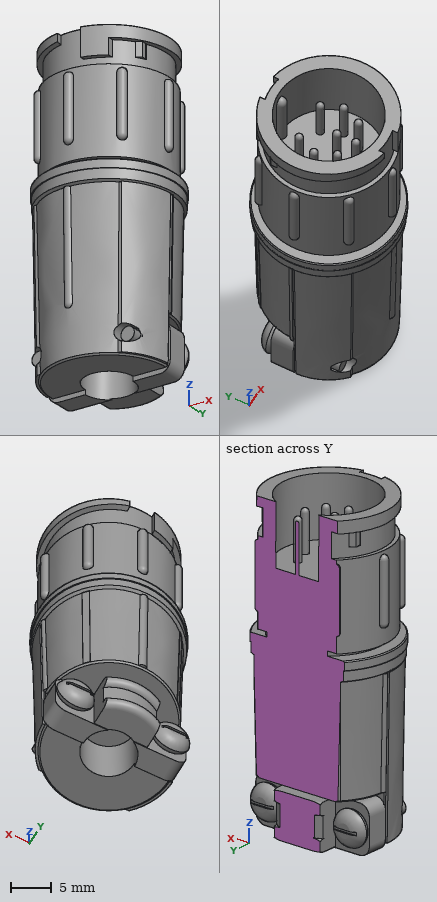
import cadquery as cq
import math


TOTAL_HEIGHT = 44.96
RIM_DEPTH = 1.74
SLEEVE_TOP = 39.73
SLEEVE_BOTTOM = 27.27
COLLAR_TOP = 26.64
COLLAR_STEP = 25.33
COLLAR_BOTTOM = 23.92
BODY_TOP = 23.68
REAR_BOTTOM = 7.6
FRONT_BOTTOM = 0.67

RIM_RADIUS = 8.89
NECK_RADIUS = 8.17
SLEEVE_RADIUS = 8.74
GAP_RADIUS = 7.79
COLLAR_RADIUS = 9.715
COLLAR_STEP_RADIUS = 9.58
COLLAR_CHAMFER = 0.15
BODY_TOP_RADIUS = 9.17
BODY_BOTTOM_RADIUS = 8.7
BODY_CHAMFER = 0.23

NOTCH_HALF_WIDTH = 1.72
RAMP_RISE = 0.65
RAMP_STEPS = 4
PAD_END_X = 4.96
PAD_DEPTH = 4.1
RIDGE_DEPTH = 3.82
RIDGE_OUTLINE = [(6.6, 3.4), (6.95, 4.43), (7.67, 3.9), (7.67, 3.05)]

RIB_COUNT = 8
RIB_RADIUS = 0.67
RIB_TOP = 38.59
RIB_BOTTOM = 30.19
SLEEVE_RIB_CENTRE = 8.75

BODY_RIB_TOP_RADIUS = 9.44
BODY_RIB_LOW_RADIUS = 9.17
FRONT_RIB_END = 8.1
STRIP_WIDTH = 0.95
STRIP_PROUD = 0.06
STRIP_ROOT_DEPTH = 1.0
STRIP_ANGLE = 43.9

PANEL_NEAR_Y = -0.37
PANEL_FAR_Y_TOP = -6.8
PANEL_FAR_Y_LOW = -6.5

BORE_RADIUS = 6.93
BORE_FLOOR = 36.15
PIN_RADIUS = 0.53
PIN_TIP = 42.15
PIN_CIRCLE = 3.8
PIN_PLACES = 8
KEY_ANGLE = 90
INNER_PIN_Y = -1.14
KEY_RADIUS = 0.8
KEY_Y = 6.75
KEY_TIP = 43.74
MARK_RADIUS = 0.3
MARK_HEIGHT = 0.2
MARK_X = -2.3
MARK_Y = 4.07

CLAMP_HEIGHT = 6.95
CLAMP_HALF_WIDTH = 9.1
CLAMP_THICKNESS = 3.1
CLAMP_CORNER = 1.55
CABLE_RADIUS = 3.57
STRAP_HALF_WIDTH = 3.7
STRAP_RADIUS = 6.5
STRAP_MARGIN = 0.15
BEAD_RADIUS = 0.9
WEB_RADIUS = 6.67
WEB_HEIGHT = 3.05

SCREW_X = 6.65
SCREW_Z = 3.55
HEAD_RADIUS = 2.57
HEAD_HEIGHT = 1.95
HEAD_NECK_RADIUS = 2.2
HEAD_BULGE_HEIGHT = 0.67
HEAD_FLAT_RADIUS = 1.0
HEAD_LOWER_ARC_POINT = (2.47, 0.3)
HEAD_UPPER_ARC_POINT = (2.1, 1.45)
SLOT_WIDTH = 0.4
SLOT_DEPTH = 0.27
SCREW_HOLE_RADIUS = 1.22
SCREW_TIP_RADIUS = 1.0
SCREW_TIP_Y = -5.66
SCREW_HOLE_FLOOR_Y = -4.2

SEAM_ANGLE = -70
OVERSIZE = 12.0


def disc(radius, bottom, top):
    return cq.Workplane("XY").workplane(offset=bottom).circle(radius).extrude(top - bottom)


def box(x0, x1, y0, y1, z0, z1):
    return cq.Workplane("XY").box(x1 - x0, y1 - y0, z1 - z0, centered=False).translate((x0, y0, z0))


def ball(radius, x, y, z):
    return cq.Workplane("XY").sphere(radius).translate((x, y, z))


def turned(outline):
    return cq.Workplane("XZ").polyline(outline).close().revolve(360, (0, 0), (0, 1))


def about_z(shape, angle):
    return shape.rotate((0, 0, 0), (0, 0, 1), angle)


def body_radius_at(z):
    share = (z - FRONT_BOTTOM) / (BODY_TOP - FRONT_BOTTOM)
    return BODY_BOTTOM_RADIUS + share * (BODY_TOP_RADIUS - BODY_BOTTOM_RADIUS)


def rib_radius_at(z):
    share = (z - REAR_BOTTOM) / (BODY_TOP - REAR_BOTTOM)
    return BODY_RIB_LOW_RADIUS + share * (BODY_RIB_TOP_RADIUS - BODY_RIB_LOW_RADIUS)


def upper_stack():
    return turned([
        (0, BODY_TOP),
        (BODY_TOP_RADIUS, BODY_TOP),
        (COLLAR_STEP_RADIUS, COLLAR_BOTTOM),
        (COLLAR_STEP_RADIUS, COLLAR_STEP),
        (COLLAR_RADIUS, COLLAR_STEP),
        (COLLAR_RADIUS, COLLAR_TOP - COLLAR_CHAMFER),
        (COLLAR_RADIUS - COLLAR_CHAMFER, COLLAR_TOP),
        (GAP_RADIUS, COLLAR_TOP),
        (GAP_RADIUS, SLEEVE_BOTTOM),
        (SLEEVE_RADIUS, SLEEVE_BOTTOM),
        (SLEEVE_RADIUS, SLEEVE_TOP),
        (NECK_RADIUS, SLEEVE_TOP),
        (NECK_RADIUS, TOTAL_HEIGHT),
        (0, TOTAL_HEIGHT),
    ])


def bayonet_half():
    """Flange over the front-left quarter (ramped) and front-right quarter, with stop pad and ridge."""
    rim_bottom = TOTAL_HEIGHT - RIM_DEPTH
    ring = disc(RIM_RADIUS, rim_bottom, TOTAL_HEIGHT).cut(
        box(-NOTCH_HALF_WIDTH, NOTCH_HALF_WIDTH, -OVERSIZE, 0, rim_bottom, TOTAL_HEIGHT))
    half = ring.intersect(box(-OVERSIZE, OVERSIZE, -OVERSIZE, 0, rim_bottom, TOTAL_HEIGHT))
    ramp_points = []
    for step in range(1, RAMP_STEPS + 1):
        share = step / RAMP_STEPS
        ramp_points.append((-RIM_RADIUS * math.sin(share * math.pi / 2), rim_bottom + share * RAMP_RISE))
    ramp = (
        cq.Workplane("YZ")
        .moveTo(0, rim_bottom)
        .spline(ramp_points, includeCurrent=True)
        .lineTo(-RIM_RADIUS, rim_bottom)
        .close()
        .extrude(-OVERSIZE)
    )
    pad = disc(RIM_RADIUS, TOTAL_HEIGHT - PAD_DEPTH, TOTAL_HEIGHT).intersect(
        box(NOTCH_HALF_WIDTH, PAD_END_X, -OVERSIZE, 0, 0, TOTAL_HEIGHT))
    ridge = (
        cq.Workplane("XY")
        .workplane(offset=TOTAL_HEIGHT - RIDGE_DEPTH)
        .polyline([(x, -y) for x, y in RIDGE_OUTLINE])
        .close()
        .extrude(RIDGE_DEPTH - RIM_DEPTH)
    )
    return half.cut(ramp).union(pad).union(ridge)


def sleeve_rib():
    rib = disc(RIB_RADIUS, RIB_BOTTOM, RIB_TOP)
    rib = rib.union(ball(RIB_RADIUS, 0, 0, RIB_TOP)).union(ball(RIB_RADIUS, 0, 0, RIB_BOTTOM))
    return rib.translate((SLEEVE_RIB_CENTRE, 0, 0))


def body_shell():
    """Tapered barrel whose +Y half ends higher, both ends with a small chamfer."""
    barrel = turned([
        (0, FRONT_BOTTOM),
        (BODY_BOTTOM_RADIUS - BODY_CHAMFER, FRONT_BOTTOM),
        (body_radius_at(FRONT_BOTTOM + BODY_CHAMFER), FRONT_BOTTOM + BODY_CHAMFER),
        (BODY_TOP_RADIUS, BODY_TOP),
        (0, BODY_TOP),
    ])
    rear_edge = REAR_BOTTOM + BODY_CHAMFER
    below_rear = turned([
        (0, 0),
        (OVERSIZE, 0),
        (OVERSIZE, rear_edge),
        (body_radius_at(rear_edge), rear_edge),
        (body_radius_at(REAR_BOTTOM) - BODY_CHAMFER, REAR_BOTTOM),
        (0, REAR_BOTTOM),
    ])
    barrel = about_z(barrel, SEAM_ANGLE)
    below_rear = about_z(below_rear, SEAM_ANGLE)
    return barrel.cut(below_rear.intersect(box(-OVERSIZE, OVERSIZE, 0, OVERSIZE, 0, BODY_TOP)))


def round_body_rib(bottom):
    """Leaning round rib on the +X side."""
    low = cq.Vector(rib_radius_at(bottom) - RIB_RADIUS, 0, bottom)
    high = cq.Vector(rib_radius_at(BODY_TOP) - RIB_RADIUS, 0, BODY_TOP)
    axis = high - low
    return cq.Workplane(obj=cq.Solid.makeCylinder(RIB_RADIUS, axis.Length, low, axis))


def rear_strip():
    """Leaning flat strip on the +X side of the +Y half, its root buried in the body."""
    bottom = REAR_BOTTOM + BODY_CHAMFER
    low_radius = body_radius_at(bottom) + STRIP_PROUD
    high_radius = BODY_TOP_RADIUS + STRIP_PROUD
    root = low_radius - STRIP_ROOT_DEPTH
    return (
        cq.Workplane("XZ")
        .polyline([(root, bottom), (low_radius, bottom), (high_radius, BODY_TOP), (root, BODY_TOP)])
        .close()
        .extrude(STRIP_WIDTH / 2, both=True)
    )


def side_panels():
    """Raised conical panels on both sides of the -Y half, ending in a step toward -Y."""
    bottom = FRONT_BOTTOM + BODY_CHAMFER
    cone = turned([
        (0, bottom),
        (rib_radius_at(bottom), bottom),
        (BODY_RIB_TOP_RADIUS, BODY_TOP),
        (0, BODY_TOP),
    ])
    band = (
        cq.Workplane("YZ")
        .polyline([
            (PANEL_NEAR_Y, bottom),
            (PANEL_NEAR_Y, BODY_TOP),
            (PANEL_FAR_Y_TOP, BODY_TOP),
            (PANEL_FAR_Y_LOW, bottom),
        ])
        .close()
        .extrude(OVERSIZE, both=True)
    )
    return about_z(cone, SEAM_ANGLE).intersect(band)


def body():
    """Barrel with round ribs on -Y, +Y and the rear of both sides, rear strips and side panels."""
    shape = body_shell()

    front_rib = round_body_rib(FRONT_RIB_END)
    front_rib = front_rib.union(
        ball(RIB_RADIUS, rib_radius_at(FRONT_RIB_END) - RIB_RADIUS, 0, FRONT_RIB_END))
    shape = shape.union(about_z(front_rib, -90))

    rear_rib = round_body_rib(REAR_BOTTOM + BODY_CHAMFER)
    rear_side = box(-OVERSIZE, OVERSIZE, 0, OVERSIZE, REAR_BOTTOM, BODY_TOP)
    for angle in (0, 90, 180):
        shape = shape.union(about_z(rear_rib, angle).intersect(rear_side))
    for angle in (STRIP_ANGLE, 180 - STRIP_ANGLE):
        shape = shape.union(about_z(rear_strip(), angle))
    return shape.union(side_panels())


def domed_pin(radius, x, y, tip):
    shoulder = tip - radius
    return disc(radius, BORE_FLOOR, shoulder).translate((x, y, 0)).union(ball(radius, x, y, shoulder))


def insert_pins():
    pins = domed_pin(PIN_RADIUS, 0, INNER_PIN_Y, PIN_TIP)
    for step in range(PIN_PLACES):
        angle = 360 / PIN_PLACES * step
        if angle == KEY_ANGLE:
            continue
        x = PIN_CIRCLE * math.cos(math.radians(angle))
        y = PIN_CIRCLE * math.sin(math.radians(angle))
        pins = pins.union(domed_pin(PIN_RADIUS, x, y, PIN_TIP))
    key = domed_pin(KEY_RADIUS, 0, KEY_Y, KEY_TIP)
    mark = disc(MARK_RADIUS, BORE_FLOOR, BORE_FLOOR + MARK_HEIGHT).translate((MARK_X, MARK_Y, 0))
    return pins.union(key).union(mark)


def clamp_strap():
    """Arched bridge over the cable: two round beads with a flat web between them."""
    middle = CLAMP_HEIGHT / 2
    strap = disc(STRAP_RADIUS, STRAP_MARGIN, CLAMP_HEIGHT - STRAP_MARGIN)
    strap = strap.union(disc(WEB_RADIUS, middle - WEB_HEIGHT / 2, middle + WEB_HEIGHT / 2))
    for z in (STRAP_MARGIN + BEAD_RADIUS, CLAMP_HEIGHT - STRAP_MARGIN - BEAD_RADIUS):
        bead = cq.Solid.makeTorus(STRAP_RADIUS, BEAD_RADIUS, cq.Vector(0, 0, z))
        strap = strap.union(cq.Workplane(obj=bead))
    return strap.intersect(box(-STRAP_HALF_WIDTH, STRAP_HALF_WIDTH, 0, OVERSIZE, 0, CLAMP_HEIGHT))


def screw_head(x):
    dome = (
        cq.Workplane("XY")
        .lineTo(HEAD_NECK_RADIUS, 0)
        .threePointArc(HEAD_LOWER_ARC_POINT, (HEAD_RADIUS, HEAD_BULGE_HEIGHT))
        .threePointArc(HEAD_UPPER_ARC_POINT, (HEAD_FLAT_RADIUS, HEAD_HEIGHT))
        .lineTo(0, HEAD_HEIGHT)
        .close()
        .revolve(360, (0, 0), (0, 1))
    )
    slot_half = SLOT_WIDTH / 2
    slot = box(-HEAD_RADIUS, HEAD_RADIUS, HEAD_HEIGHT - SLOT_DEPTH, HEAD_HEIGHT, -slot_half, slot_half)
    return dome.cut(slot).translate((x, CLAMP_THICKNESS, SCREW_Z))


def cable_clamp():
    clamp = box(-CLAMP_HALF_WIDTH, CLAMP_HALF_WIDTH, 0, CLAMP_THICKNESS, 0, CLAMP_HEIGHT)
    clamp = clamp.edges("|Y").fillet(CLAMP_CORNER).union(clamp_strap())
    for x in (-SCREW_X, SCREW_X):
        clamp = clamp.union(screw_head(x))
    return clamp


def along_y(radius, x, y0, y1):
    rod = cq.Solid.makeCylinder(radius, y1 - y0, cq.Vector(x, y0, SCREW_Z), cq.Vector(0, 1, 0))
    return cq.Workplane(obj=rod)


def connector():
    part = upper_stack()
    for angle in (0, 180):
        part = part.union(about_z(bayonet_half(), angle))
    for step in range(RIB_COUNT):
        part = part.union(about_z(sleeve_rib(), 360 / RIB_COUNT * step))
    part = part.cut(disc(BORE_RADIUS, BORE_FLOOR, TOTAL_HEIGHT)).union(insert_pins())

    part = part.union(body()).union(cable_clamp())
    part = part.cut(disc(CABLE_RADIUS, 0, REAR_BOTTOM))
    for x in (-SCREW_X, SCREW_X):
        part = part.cut(along_y(SCREW_HOLE_RADIUS, x, -OVERSIZE, SCREW_HOLE_FLOOR_Y))
        part = part.union(along_y(SCREW_TIP_RADIUS, x, SCREW_TIP_Y, SCREW_HOLE_FLOOR_Y))
    return part


result = connector()